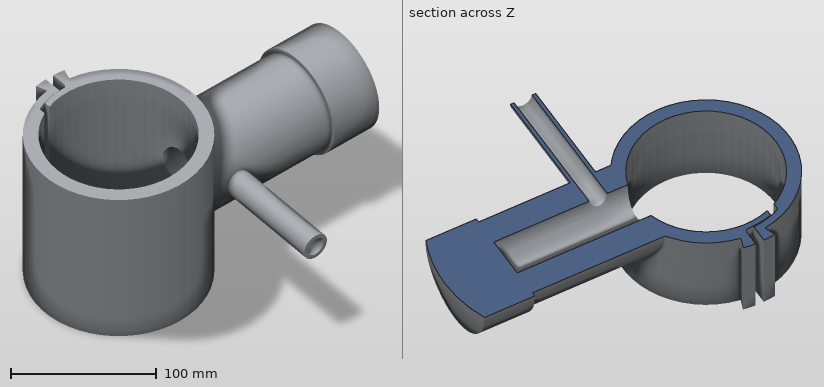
import cadquery as cq
import math

height = 128.0
ring_outer_radius = 65.7
ring_inner_radius = 55.0

lug_gap = 6.4
lug_tip_radius = 74.5
lug_tip_half_width = 12.7
lug_root_half_width = 9.7
lap_radius = 60.0
lap_clearance = 0.3
tongue_outer_radius = lap_radius - lap_clearance
tongue_end_y = -18.8
recess_end_y = -25.5
corner_radius = 2.5

pipe_radius = 37.5
passage_radius = 16.0
cap_radius = 40.75
cap_start_y = 158.2
cap_end_y = 198.2
dome_top_y = 206.44

tube_radius = 10.1
tube_bore_radius = 7.0
tube_y = 76.0
tube_end_x = 120.0


def on_circle(radius, y):
    """Point with the given y on the -X half of a circle about the ring axis."""
    return (-math.sqrt(radius**2 - y**2), y)


def upright_prism(profile):
    """Extrude a plan profile over the full ring height."""
    return profile.extrude(height / 2, both=True)


def upright_cylinder(radius):
    return upright_prism(cq.Workplane("XY").circle(radius))


def cylinder_along_y(radius, start_y, end_y):
    return cq.Workplane("XZ", origin=(0, start_y, 0)).circle(radius).extrude(start_y - end_y)


def make_lug(side):
    """Flared lug beside the split: side is +1 for the upper (+Y) lug, -1 for the lower."""
    gap_y = side * lug_gap / 2
    tip_y = side * lug_tip_half_width
    root_y = side * lug_root_half_width
    profile = (
        cq.Workplane("XY")
        .moveTo(*on_circle(lap_radius, gap_y))
        .lineTo(*on_circle(lug_tip_radius, gap_y))
        .threePointArc(
            on_circle(lug_tip_radius, (gap_y + tip_y) / 2),
            on_circle(lug_tip_radius, tip_y),
        )
        .lineTo(*on_circle(ring_outer_radius, root_y))
        .lineTo(*on_circle(lap_radius, root_y))
        .close()
    )
    return upright_prism(profile)


def make_split():
    """Space of the lug gap, the lap clearance and the recess beyond the tongue end."""
    gap_top_y = lug_gap / 2
    gap_bottom_y = -lug_gap / 2
    bore_side_radius = ring_inner_radius - corner_radius
    profile = (
        cq.Workplane("XY")
        .moveTo(-lug_tip_radius, gap_top_y)
        .lineTo(*on_circle(tongue_outer_radius, gap_top_y))
        .threePointArc(
            on_circle(tongue_outer_radius, (gap_top_y + tongue_end_y) / 2),
            on_circle(tongue_outer_radius, tongue_end_y),
        )
        .lineTo(*on_circle(bore_side_radius, tongue_end_y))
        .lineTo(*on_circle(bore_side_radius, recess_end_y))
        .lineTo(*on_circle(lap_radius, recess_end_y))
        .threePointArc(
            on_circle(lap_radius, (gap_bottom_y + recess_end_y) / 2),
            on_circle(lap_radius, gap_bottom_y),
        )
        .lineTo(-lug_tip_radius, gap_bottom_y)
        .close()
    )
    space = upright_prism(profile)
    for corner in (
        on_circle(tongue_outer_radius, gap_top_y),
        on_circle(lap_radius, recess_end_y),
    ):
        edge = cq.selectors.NearestToPointSelector((*corner, 0))
        space = space.edges("|Z").edges(edge).fillet(corner_radius)
    return space


def make_cap():
    """Cap with a spherical dome, revolved about the branch axis."""
    rise = dome_top_y - cap_end_y
    dome_radius = (cap_radius**2 + rise**2) / (2 * rise)
    mid_radius = cap_radius / 2
    mid_y = dome_top_y - dome_radius + math.sqrt(dome_radius**2 - mid_radius**2)
    return (
        cq.Workplane("XY")
        .moveTo(0, cap_start_y)
        .lineTo(cap_radius, cap_start_y)
        .lineTo(cap_radius, cap_end_y)
        .threePointArc((mid_radius, mid_y), (0, dome_top_y))
        .close()
        .revolve(360, (0, 0, 0), (0, 1, 0))
    )


def cylinder_along_x(radius):
    """Cylinder on the side tube axis, from the plane of the branch axis to the tube end."""
    return cq.Workplane("YZ").center(tube_y, 0).circle(radius).extrude(tube_end_x)


pipe = cylinder_along_y(pipe_radius, 0, cap_start_y)
body = upright_cylinder(ring_outer_radius).union(pipe).union(make_cap())
body = body.union(cylinder_along_x(tube_radius))
for lug_side in (1, -1):
    body = body.union(make_lug(lug_side))

body = body.cut(upright_cylinder(ring_inner_radius))
body = body.cut(cylinder_along_y(passage_radius, 0, cap_start_y))
body = body.cut(cylinder_along_x(tube_bore_radius))
result = body.cut(make_split())